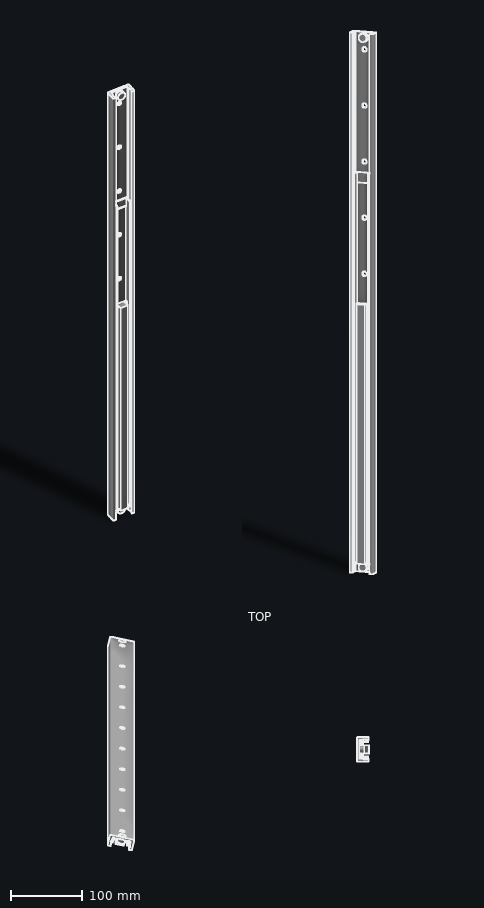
import cadquery as cq


rail_length = 770.0
rail_width = 35.0
rail_depth = 16.5
web_thickness = 3.5
channel_width = 26.0
outer_round = 1.5
groove_radius = 5.0
groove_depth = 1.0
groove_height = 11.0

hole_diameter = 6.5
hole_pitch = 80.0
hole_count = 10
first_hole = (rail_length - (hole_count - 1) * hole_pitch) / 2

stop_diameter = 12.0
rivet_diameter = 9.5
stop_top = 10.0
stop_offset = 7.5
stop_heights = (stop_offset, rail_length - stop_offset)

travel_start = stop_offset + stop_diameter / 2
slider_length = 370.0
slider_bottom = 6.5
slider_top = 17.0
foot_top = 9.0
foot_width = 19.0
neck_width = 12.0

stroke = rail_length - 2 * travel_start - slider_length
cage_length = rail_length - 2 * travel_start - stroke / 2
cage_bottom = 4.5
cage_top = 16.0
cage_thickness = 1.5
cage_leg_thickness = 1.5
cage_width = 22.8
bridge_length = 15.0


def block(x_min, x_max, width, z_min, length):
    """Box centred on Y = 0, given its X range, Y width and Z start and length."""
    box = cq.Workplane("XY").box(x_max - x_min, width, length, centered=(False, True, False))
    return box.translate((x_min, 0, z_min))


def disc(diameter, x_min, x_max, z):
    """Cylinder along X with its axis on Y = 0 at height z."""
    return cq.Workplane("YZ", origin=(x_min, 0, z)).circle(diameter / 2).extrude(x_max - x_min)


def make_rail():
    body = block(0, rail_depth, rail_width, 0, rail_length)
    body = body.edges("|Z").fillet(outer_round)
    body = body.cut(block(web_thickness, rail_depth, channel_width, 0, rail_length))

    groove_centre = channel_width / 2 + groove_depth - groove_radius
    for side in (-1, 1):
        groove = (
            cq.Workplane("XY")
            .center(groove_height, side * groove_centre)
            .circle(groove_radius)
            .extrude(rail_length)
        )
        body = body.cut(groove)

    for i in range(hole_count):
        body = body.cut(disc(hole_diameter, 0, web_thickness, first_hole + i * hole_pitch))
    for z in stop_heights:
        body = body.cut(disc(rivet_diameter, 0, web_thickness, z))
    return body


def make_stop(z):
    rivet = disc(rivet_diameter, 0, web_thickness, z)
    return rivet.union(disc(stop_diameter, web_thickness, stop_top, z))


def make_slider():
    foot = block(slider_bottom, foot_top, foot_width, travel_start, slider_length)
    neck = block(foot_top, slider_top, neck_width, travel_start, slider_length)
    return foot.union(neck)


def make_cage():
    inner_width = cage_width - 2 * cage_leg_thickness
    web_top = cage_bottom + cage_thickness
    body = block(cage_bottom, cage_top, cage_width, travel_start, cage_length)
    body = body.cut(block(web_top, cage_top, inner_width, travel_start, cage_length))

    window_length = cage_length - 2 * bridge_length
    window = block(cage_bottom, web_top, inner_width, travel_start + bridge_length, window_length)
    return body.cut(window)


rail = make_rail()
slider = make_slider()
cage = make_cage()
stops = [make_stop(z) for z in stop_heights]

result = cq.Compound.makeCompound([rail.val(), slider.val(), cage.val(), *[stop.val() for stop in stops]])